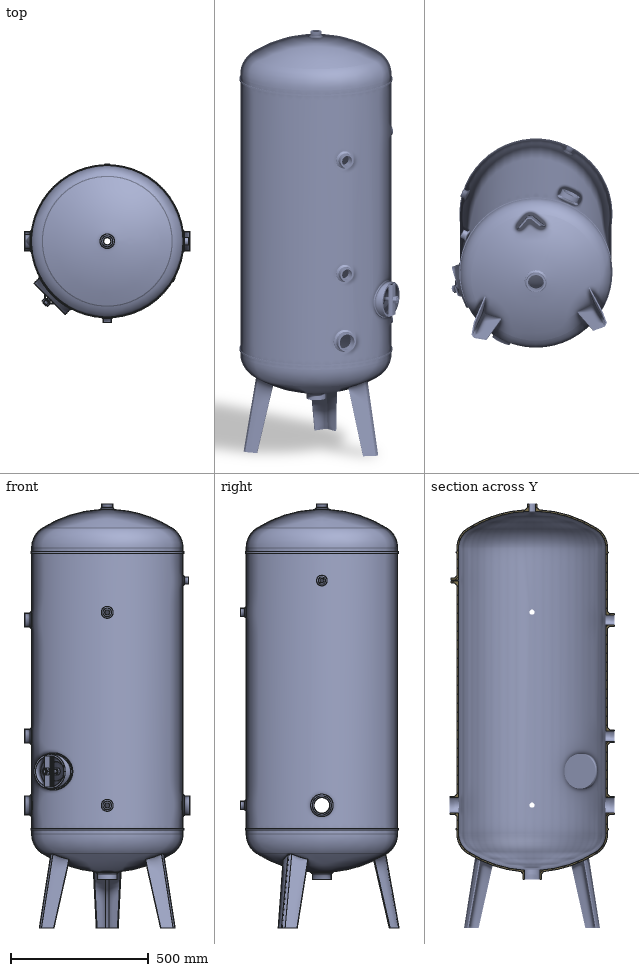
import cadquery as cq
import math

shell_diameter = 550.0
shell_radius = shell_diameter / 2
wall = 8.0
lower_seam_z = 359.0
shell_height = 1003.0
upper_seam_z = lower_seam_z + shell_height
straight_flange = 17.0
crown_radius = 0.8 * shell_diameter
knuckle_radius = 0.154 * shell_diameter
seam_bead_radius = 555.0 / 2
seam_bead_width = 6.0

large_pipe = (70.0, 57.0)
medium_pipe = (51.0, 38.0)
top_pipe = (40.0, 26.0)
gauge_pipe = (31.0, 18.0)
relief_pipe = (26.0, 15.0)
pipe_weld_leg = 6.0
pipe_root = 14.0
bore_reach = 23.0
side_reach = 300.0
gauge_reach = 295.0
top_pipe_end_z = 1539.0
bottom_pipe_end_z = 175.0
drain_level = 445.0
left_levels = (695.0, 1117.0)
gauge_levels = (445.0, 1145.0)
relief_level = 1260.0

leg_directions = (90, 210, 330)
leg_plate = 5.0
wing_fold = math.radians(45)
spine_half_width = 8.0
foot_spine_radius = 280.0
foot_half_width = 40.0
leg_lean = 0.18
leg_widening = 0.05
leg_top_z = 308.0

handhole_direction = 225
handhole_level = 568.0
collar_length = 160.0
collar_height = 126.0
collar_wall = 8.0
collar_face = 295.0
collar_inner_end = 246.0
collar_weld_leg = 5.0

cover_depth = 26.0
cover_thickness = 23.0
dish_margin = 20.0
dish_depth = 15.0
stud_diameter = 15.0
stud_projection = 3.0
boss_diameter = 26.0
boss_height = 12.0
nut_sides = 6
nut_flats = 25.0
nut_height = 12.0

yoke_length = 114.0
yoke_width = 45.0
yoke_height = 12.0
yoke_plate = 5.0
yoke_bend = 8.0


def vessel_profile(offset):
    """Half section of the tank, its surface moved inward by offset."""
    radius = shell_radius - offset
    crown = crown_radius - offset
    knuckle = knuckle_radius - offset
    knuckle_centre_r = radius - knuckle
    crown_drop = math.sqrt((crown - knuckle) ** 2 - knuckle_centre_r**2)
    joint_angle = math.atan2(crown_drop, knuckle_centre_r)
    joint_r = crown * math.cos(joint_angle)
    joint_rise = crown * math.sin(joint_angle) - crown_drop
    knuckle_mid_r = knuckle_centre_r + knuckle * math.cos(joint_angle / 2)
    knuckle_mid_rise = knuckle * math.sin(joint_angle / 2)
    crown_mid_angle = (joint_angle + math.pi / 2) / 2
    crown_mid_r = crown * math.cos(crown_mid_angle)
    crown_mid_rise = crown * math.sin(crown_mid_angle) - crown_drop
    apex_rise = crown - crown_drop
    top = upper_seam_z + straight_flange
    bottom = lower_seam_z - straight_flange
    return (
        cq.Workplane("XZ")
        .moveTo(0, bottom - apex_rise)
        .threePointArc((crown_mid_r, bottom - crown_mid_rise), (joint_r, bottom - joint_rise))
        .threePointArc((knuckle_mid_r, bottom - knuckle_mid_rise), (radius, bottom))
        .lineTo(radius, top)
        .threePointArc((knuckle_mid_r, top + knuckle_mid_rise), (joint_r, top + joint_rise))
        .threePointArc((crown_mid_r, top + crown_mid_rise), (0, top + apex_rise))
        .close()
    )


def revolved_vessel(offset):
    return vessel_profile(offset).revolve(360, (0, 0, 0), (0, 1, 0))


def seam_bead(level):
    base = cq.Workplane("XY", origin=(0, 0, level - seam_bead_width / 2))
    return base.circle(seam_bead_radius).extrude(seam_bead_width)


def radial_plane(direction, level, distance=0.0):
    """Plane facing outward from the tank axis; its local Y is up."""
    angle = math.radians(direction)
    outward = (math.cos(angle), math.sin(angle), 0)
    sideways = (-math.sin(angle), math.cos(angle), 0)
    origin = (distance * outward[0], distance * outward[1], level)
    return cq.Plane(origin=origin, xDir=sideways, normal=outward)


def pipe_rod(plane, diameter, start, end):
    return cq.Workplane(plane).workplane(offset=start).circle(diameter / 2).extrude(end - start)


def welded_pipe(plane, diameter, surface, end):
    """Solid pipe blank with a conical weld fillet; it starts inside the tank wall."""
    radius = diameter / 2
    start = surface - pipe_root
    section = cq.Plane(origin=plane.origin, xDir=plane.xDir, normal=plane.xDir.cross(plane.zDir))
    return (
        cq.Workplane(section)
        .moveTo(0, start)
        .lineTo(radius + pipe_weld_leg, start)
        .lineTo(radius + pipe_weld_leg, surface)
        .lineTo(radius, surface + pipe_weld_leg)
        .lineTo(radius, end)
        .lineTo(0, end)
        .close()
        .revolve(360, (0, 0, 0), (0, 1, 0))
    )


def leg_section(level):
    half_width = foot_half_width + leg_widening * level
    spine = foot_spine_radius - leg_lean * level
    wing_end = spine - (half_width - spine_half_width) * math.tan(wing_fold)
    edge = leg_plate * math.sin(wing_fold)
    inner_spine_half = spine_half_width - leg_plate * math.tan(wing_fold / 2)
    right_side = [
        (spine, spine_half_width),
        (wing_end, half_width),
        (wing_end - edge, half_width - edge),
        (spine - leg_plate, inner_spine_half),
    ]
    left_side = [(x, -y) for x, y in reversed(right_side)]
    points = [cq.Vector(x, y, level) for x, y in right_side + left_side]
    return cq.Wire.makePolygon(points, close=True)


def make_leg(direction):
    leg = cq.Solid.makeLoft([leg_section(0), leg_section(leg_top_z)], True)
    return cq.Workplane(obj=leg.rotate(cq.Vector(0, 0, 0), cq.Vector(0, 0, 1), direction))


def handhole_oval(margin, start, end):
    """Elliptical rod along the handhole axis, its outline inside the collar's by margin."""
    return (
        cq.Workplane(radial_plane(handhole_direction, handhole_level, start))
        .ellipse(collar_length / 2 - margin, collar_height / 2 - margin)
        .extrude(end - start)
    )


def make_vessel():
    outer = revolved_vessel(0)
    cavity = revolved_vessel(wall)
    apex_z = outer.val().BoundingBox().zmax
    base_z = outer.val().BoundingBox().zmin
    upward = cq.Plane.XY()
    downward = cq.Plane(origin=(0, 0, 0), xDir=(1, 0, 0), normal=(0, 0, -1))

    nozzles = [
        (upward, top_pipe, apex_z, top_pipe_end_z),
        (downward, large_pipe, -base_z, -bottom_pipe_end_z),
    ]
    side_pipes = [(180, drain_level, large_pipe, side_reach), (0, drain_level, large_pipe, side_reach)]
    side_pipes += [(180, level, medium_pipe, side_reach) for level in left_levels]
    side_pipes += [(270, level, gauge_pipe, gauge_reach) for level in gauge_levels]
    side_pipes += [(0, relief_level, relief_pipe, gauge_reach)]
    for direction, level, pipe, reach in side_pipes:
        plane = radial_plane(direction, level)
        nozzles.append((plane, pipe, shell_radius, reach))

    body = outer.union(seam_bead(lower_seam_z)).union(seam_bead(upper_seam_z))
    for plane, (outside, _), surface, end in nozzles:
        body = body.union(welded_pipe(plane, outside, surface, end))
    for direction in leg_directions:
        body = body.union(make_leg(direction))
    weld_bead = handhole_oval(-collar_weld_leg, collar_inner_end, collar_face).intersect(
        revolved_vessel(-collar_weld_leg)
    )
    body = body.union(weld_bead).union(handhole_oval(0, collar_inner_end, collar_face))
    body = body.cut(cavity)
    body = body.union(handhole_oval(0, collar_inner_end, shell_radius))
    body = body.cut(handhole_oval(collar_wall, collar_inner_end, collar_face))
    for plane, (_, bore), surface, end in nozzles:
        body = body.cut(pipe_rod(plane, bore, surface - bore_reach, end))
    return body


def make_cover():
    rim = collar_face - cover_depth
    floor = rim - dish_depth
    nut_seat = collar_face + yoke_height
    nut_top = nut_seat + nut_height
    axis = radial_plane(handhole_direction, handhole_level)
    plate = handhole_oval(collar_wall, rim - cover_thickness, rim)
    dish = handhole_oval(collar_wall + dish_margin, floor, rim)
    boss = pipe_rod(axis, boss_diameter, floor, floor + boss_height)
    stud = pipe_rod(axis, stud_diameter, floor, nut_top + stud_projection)
    nut_corners = nut_flats / math.cos(math.pi / nut_sides)
    nut = cq.Workplane(axis).workplane(offset=nut_seat).polygon(nut_sides, nut_corners).extrude(nut_height)
    return plate.cut(dish).union(boss).union(stud).union(nut)


def make_yoke():
    seat = radial_plane(handhole_direction, handhole_level - yoke_length / 2, collar_face)
    section = cq.Plane(origin=seat.origin, xDir=seat.xDir, normal=(0, 0, 1))
    half_width = yoke_width / 2
    channel = (
        cq.Workplane(section)
        .moveTo(-half_width, 0)
        .lineTo(-half_width, yoke_bend - yoke_height)
        .lineTo(yoke_bend - half_width, -yoke_height)
        .lineTo(half_width - yoke_bend, -yoke_height)
        .lineTo(half_width, yoke_bend - yoke_height)
        .lineTo(half_width, 0)
        .lineTo(half_width - yoke_plate, 0)
        .lineTo(half_width - yoke_plate, yoke_bend - yoke_height)
        .lineTo(half_width - yoke_bend, yoke_plate - yoke_height)
        .lineTo(yoke_bend - half_width, yoke_plate - yoke_height)
        .lineTo(yoke_plate - half_width, yoke_bend - yoke_height)
        .lineTo(yoke_plate - half_width, 0)
        .close()
        .extrude(yoke_length)
    )
    axis = radial_plane(handhole_direction, handhole_level)
    return channel.cut(pipe_rod(axis, stud_diameter, collar_face, collar_face + yoke_height))


vessel = make_vessel()
cover = make_cover()
yoke = make_yoke()
result = cq.Compound.makeCompound([vessel.val(), cover.val(), yoke.val()])